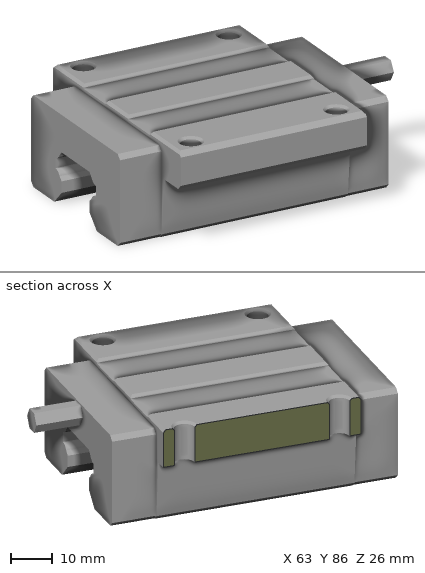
import cadquery as cq
import math

body_width = 63.0
body_length = 51.25
body_height = 26.0
flange_bottom = 16.0
flange_chamfer = 1.3
skirt_top_width = 46.95
skirt_bottom_width = 44.4
base_chamfer = 1.2

channel_depth = 1.0
channel_inner_x = 5.5
channel_outer_x = 16.4
pad_edge_run = 0.6
pad_edge_drop = 0.8

cap_width = 43.9
cap_height = 24.0
cap_length = 11.35
cap_chamfer = 1.2

throat_half_width = 6.9
mouth_chamfer = 3.6
notch_half_width = 10.0
notch_bottom = 8.95
notch_top = 11.7
notch_lip_radius = 2.3
notch_lip_angle = math.radians(65)
shoulder_bottom = 6.6
passage_height = 14.2

hole_diameter = 5.2
hole_mouth_diameter = 6.4
hole_mouth_angle = 90
hole_spacing_x = 53.0
hole_spacing_y = 40.1

nipple_sides = 6
nipple_across_corners = 6.0
nipple_length = 12.0
nipple_height = 21.0


def make_body():
    half_width = body_width / 2
    skirt_bottom = skirt_bottom_width / 2
    right_half = [
        (skirt_bottom - base_chamfer, 0),
        (skirt_bottom, base_chamfer),
        (skirt_top_width / 2, flange_bottom),
        (half_width - flange_chamfer, flange_bottom),
        (half_width, flange_bottom + flange_chamfer),
        (half_width, body_height - flange_chamfer),
        (half_width - flange_chamfer, body_height),
    ]
    left_half = [(-x, z) for x, z in reversed(right_half)]
    return (
        cq.Workplane("XZ")
        .polyline(right_half + left_half)
        .close()
        .extrude(body_length / 2, both=True)
    )


def make_channel(side):
    """Channel cutter that also bevels the pad edges on either side of the channel."""
    floor = body_height - channel_depth
    wall_top = body_height - pad_edge_drop
    outline = [
        (side * channel_inner_x, floor),
        (side * channel_inner_x, wall_top),
        (side * (channel_inner_x - pad_edge_run), body_height),
        (side * (channel_outer_x + pad_edge_run), body_height),
        (side * channel_outer_x, wall_top),
        (side * channel_outer_x, floor),
    ]
    return (
        cq.Workplane("XZ")
        .polyline(outline)
        .close()
        .extrude(body_length / 2, both=True)
    )


def make_pad_end_cut(side):
    """Wedge that bevels the end edges of all three pads."""
    end_y = side * body_length / 2
    outline = [
        (end_y, body_height - pad_edge_drop),
        (end_y, body_height),
        (end_y - side * pad_edge_run, body_height),
    ]
    return (
        cq.Workplane("YZ")
        .polyline(outline)
        .close()
        .extrude(body_width / 2, both=True)
    )


def make_caps():
    cap = (
        cq.Workplane("XY")
        .box(cap_width, cap_length, cap_height, centered=(True, True, False))
        .edges("|Y")
        .chamfer(cap_chamfer)
    )
    cap_y = (body_length + cap_length) / 2
    return cap.translate((0, -cap_y, 0)).union(cap.translate((0, cap_y, 0)))


def lip_point(notch_face, direction, angle):
    """Point on a rounded notch lip, at the given angle from its horizontal start at the notch wall."""
    x = notch_half_width - notch_lip_radius * math.sin(angle)
    z = notch_face + direction * notch_lip_radius * (1 - math.cos(angle))
    return (x, z)


def make_rail_passage():
    length = body_length + 2 * cap_length
    lower_lip_end = lip_point(notch_bottom, -1, notch_lip_angle)
    lower_lip_middle = lip_point(notch_bottom, -1, notch_lip_angle / 2)
    upper_lip_middle = lip_point(notch_top, 1, notch_lip_angle / 2)
    upper_lip_end = lip_point(notch_top, 1, notch_lip_angle)
    half_passage = (
        cq.Workplane("XZ", origin=(0, -length / 2, 0))
        .lineTo(throat_half_width + mouth_chamfer, 0)
        .lineTo(throat_half_width, mouth_chamfer)
        .lineTo(throat_half_width, shoulder_bottom)
        .lineTo(*lower_lip_end)
        .threePointArc(lower_lip_middle, (notch_half_width, notch_bottom))
        .lineTo(notch_half_width, notch_top)
        .threePointArc(upper_lip_middle, upper_lip_end)
        .lineTo(throat_half_width, passage_height)
        .lineTo(0, passage_height)
        .close()
        .extrude(-length)
    )
    return half_passage.union(half_passage.mirror("YZ"))


def make_nipple():
    rear_y = body_length / 2 + cap_length
    return (
        cq.Workplane("XZ", origin=(0, rear_y, nipple_height))
        .polygon(nipple_sides, nipple_across_corners)
        .extrude(-nipple_length)
    )


def drill_mounting_holes(block):
    return (
        block.faces(">Z")
        .workplane(origin=(0, 0, body_height))
        .rarray(hole_spacing_x, hole_spacing_y, 2, 2)
        .cskHole(hole_diameter, hole_mouth_diameter, hole_mouth_angle)
    )


body = make_body()
for side in (-1, 1):
    body = body.cut(make_channel(side))
    body = body.cut(make_pad_end_cut(side))
body = drill_mounting_holes(body)
result = body.union(make_caps()).cut(make_rail_passage()).union(make_nipple())